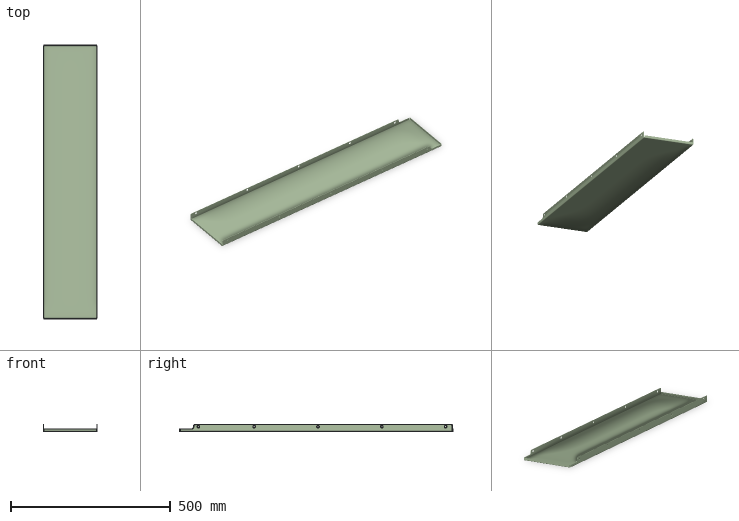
import cadquery as cq

width = 169.0
length = 857.0
height = 22.0
thickness = 1.0
bend_radius = 0.8
corner_relief = thickness + bend_radius

lip_height = 8.0
low_end_length = 44.0
corner_radius = 6.0

hole_diameter = 7.0
hole_drop = 7.0
hole_pitch = 200.0
pitched_hole_count = 4
back_hole_inset = 23.0
front_hole_inset = 59.0

front_y = -length / 2
back_y = length / 2
step_y = front_y + low_end_length

selection_margin = 1.0
high_corner_selector = cq.selectors.BoxSelector(
    (-width, step_y - selection_margin, lip_height - selection_margin),
    (width, back_y + selection_margin, height + selection_margin),
)


def rounded_block(inset, bottom_radius):
    """Block set in from the tray outline and up to the full height, its bottom edges rounded."""
    block = cq.Workplane("XY").box(
        width - 2 * inset, length - 2 * inset, height - inset, centered=(True, True, False)
    )
    return block.translate((0, 0, inset)).faces("<Z").edges().fillet(bottom_radius)


def make_shell():
    """Tray with a wall of full height bent up on all four sides."""
    outside = rounded_block(0, bend_radius + thickness)
    inside = rounded_block(thickness, bend_radius)
    return outside.cut(inside)


def side_profile():
    """Prism across the width with the side wall outline: high, with a low front end."""
    profile = (
        cq.Workplane("YZ")
        .moveTo(front_y, 0)
        .lineTo(back_y, 0)
        .lineTo(back_y, height)
        .lineTo(step_y, height)
        .lineTo(step_y, lip_height)
        .lineTo(front_y, lip_height)
        .close()
        .extrude(width / 2, both=True)
    )
    return profile.edges("|X").edges(high_corner_selector).fillet(corner_radius)


def corner_reliefs():
    """Square posts that part the side walls from the end walls at the four tray corners."""
    return (
        cq.Workplane("XY")
        .rect(width - corner_relief, length - corner_relief, forConstruction=True)
        .vertices()
        .rect(corner_relief, corner_relief)
        .extrude(height)
    )


def back_wall_opening():
    """Block that lowers the back wall to lip height between the side walls."""
    opening_depth = thickness + bend_radius
    opening = cq.Workplane("XY").box(
        width - 2 * thickness, opening_depth, height - lip_height, centered=(True, False, False)
    )
    return opening.translate((0, back_y - opening_depth, lip_height))


def mounting_holes():
    """Cylinders across the width through both side walls."""
    positions = [
        back_y - back_hole_inset - index * hole_pitch for index in range(pitched_hole_count)
    ]
    positions.append(front_y + front_hole_inset)
    return (
        cq.Workplane("YZ")
        .pushPoints([(y, height - hole_drop) for y in positions])
        .circle(hole_diameter / 2)
        .extrude(width / 2, both=True)
    )


result = (
    make_shell()
    .intersect(side_profile())
    .cut(back_wall_opening())
    .cut(corner_reliefs())
    .cut(mounting_holes())
)